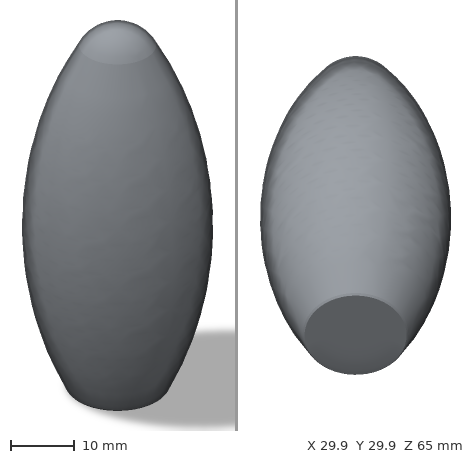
import cadquery as cq
import math

total_height = 65.0
max_radius = 14.95
widest_height = 28.9
barrel_arc_radius = 64.35
dome_height = 3.4
edge_height = 0.3
edge_inset = 0.25

shoulder_height = total_height - dome_height


def barrel_radius(height):
    """Radius of the barrel at a height, from its circular side arc."""
    offset = height - widest_height
    sag = barrel_arc_radius - math.sqrt(barrel_arc_radius**2 - offset**2)
    return max_radius - sag


shoulder_radius = barrel_radius(shoulder_height)
lower_radius = barrel_radius(edge_height)
base_radius = lower_radius - edge_inset

dome_radius = (shoulder_radius**2 + dome_height**2) / (2 * dome_height)
dome_center_height = total_height - dome_radius
dome_mid_angle = math.atan2(shoulder_radius, shoulder_height - dome_center_height) / 2
dome_mid_point = (
    dome_radius * math.sin(dome_mid_angle),
    dome_center_height + dome_radius * math.cos(dome_mid_angle),
)

result = (
    cq.Workplane("XZ")
    .lineTo(base_radius, 0)
    .lineTo(lower_radius, edge_height)
    .threePointArc((max_radius, widest_height), (shoulder_radius, shoulder_height))
    .threePointArc(dome_mid_point, (0, total_height))
    .close()
    .revolve(360, (0, 0), (0, 1))
)